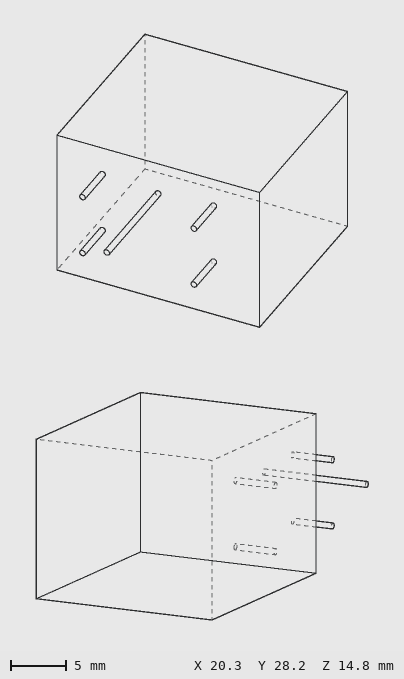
import cadquery as cq

body_width = 20.32
body_height = 14.75
total_length = 28.18
long_pin_length = 10.4
body_depth = total_length - long_pin_length

pin_diameter = 0.55
short_pin_length = 4.05
pin_spacing_x = 11.15
upper_row_z = 4.55
lower_row_z = -1.58
long_pin_z = 4.15


def make_pins(positions, length):
    """Pins at the given (x, z) positions, extending from the pin face toward -Y."""
    return (
        cq.Workplane("XZ")
        .pushPoints(positions)
        .circle(pin_diameter / 2)
        .extrude(length)
    )


body = cq.Workplane("XY").box(
    body_width, body_depth, body_height, centered=(True, False, True)
)

short_pin_positions = [
    (side * pin_spacing_x / 2, z)
    for side in (-1, 1)
    for z in (lower_row_z, upper_row_z)
]
short_pins = make_pins(short_pin_positions, short_pin_length)
long_pin = make_pins([(0, long_pin_z)], long_pin_length)

result = body.union(short_pins).union(long_pin)